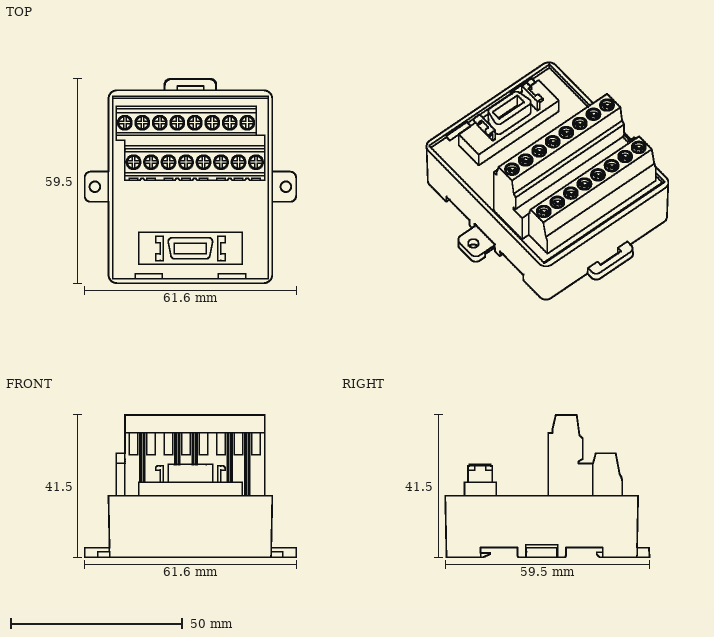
import cadquery as cq
import math


HOUSING_LENGTH = 47.75
HOUSING_DEPTH = 56.2
HOUSING_HEIGHT = 17.9
WALL_INSET = 0.4
CORNER_RADIUS = 2.2
RIM_WIDTH = 1.3
RECESS_DEPTH = 1.65
BACK_RIM_WIDTH = 1.7
BACK_RIM_CHAMFER = 0.6
PANEL_Z = HOUSING_HEIGHT - RECESS_DEPTH
RECESS_HALF_X = HOUSING_LENGTH / 2 - RIM_WIDTH
RECESS_FRONT_Y = -HOUSING_DEPTH / 2 + RIM_WIDTH
RECESS_BACK_Y = HOUSING_DEPTH / 2 - BACK_RIM_WIDTH

LUG_LENGTH = 7.95
LUG_DEPTH = 1.55
LUG_HEIGHT = 0.7
LUG_CENTER_X = 12.15

RAIL_HALF_WIDTH = 17.75
RAIL_DEPTH = 2.85
RIB_HALF_WIDTH = 7.1
RIB_CHAMFER = 0.25

CLIP_WIDTH = 15.15
CLIP_REACH = 3.3
CLIP_RADIUS = 1.85
CLIP_SLOT_WIDTH = 7.65
CLIP_INSET = 0.2
CLIP_BAR = 2.15
HOOK_REACH_BACK = 1.7
HOOK_TOP_BACK = 1.5
HOOK_CHAMFER_BACK = 0.8
HOOK_REACH_FRONT = 2.7
HOOK_TOP_FRONT = 1.3
HOOK_NOSE_FRONT = 0.45
HOOK_FOOT_FRONT = 0.8

OVERALL_LENGTH = 61.6
FOOT_WIDTH = 8.9
FOOT_THICKNESS = RAIL_DEPTH
FOOT_RADIUS = 1.85
FOOT_HOLE_DIAMETER = 3.0
FOOT_HOLE_INSET = 3.0
FOOT_NECK_INSET = 0.85
FOOT_NECK_HEIGHT = 1.55
FOOT_HEAD_LENGTH = 3.9
FOOT_INNER_X = 17.25
SOCKET_CLEARANCE = 0.215
SOCKET_LEAD_IN = 0.8

POLES = 8
ROW_LENGTH = 40.7
PITCH = ROW_LENGTH / POLES
ROW_SHIFT = PITCH / 4
SHELF_Z = 27.3
LOW_TOP_Z = 30.3
LOW_TOP_Y = (15.7, 21.55)
LOW_FRONT_Y = 13.5
LOW_BACK_Y = 23.5
LOW_BACK_BEVEL = (22.7, 24.15)
LOW_BACK_WALL_Z = 23.05
LOW_SHELF_Y = 14.9
LOW_BACK_RADIUS = 4.0
HIGH_TOP_Z = 41.45
HIGH_TOP_Y = (4.05, 10.2)
HIGH_FRONT_Y = 1.85
HIGH_STEP_Z = 36.2
HIGH_SETBACK_Y = 3.15
HIGH_SLOPE_Z = 37.3
HIGH_BACK_Y = 11.95
HIGH_BACK_BEVEL = (11.0, 35.5)
HIGH_BACK_WALL_Z = (28.6, 34.6)
HIGH_UNDERCUT = (10.8, 27.9)

SCREW_DIAMETER = 4.1
SCREW_MOUTH_CHAMFER = 0.25
SCREW_SINK = 1.6
HEAD_DIAMETER = SCREW_DIAMETER - 2 * SCREW_MOUTH_CHAMFER
CROSS_WIDTH = 0.75
CROSS_DEPTH = 0.5

WINDOW_WIDTH = 2.4
WINDOW_BOTTOM_Z = 29.9
WINDOW_DEPTH = 0.7
GROOVE_MOUTH = 1.5
GROOVE_FLOOR = 0.5
GROOVE_DEPTH = 0.6
GROOVE_AFTER_POLES = (1, 3, 4, 6, 7)

CONNECTOR_LENGTH = 30.05
CONNECTOR_Y = (-22.5, -13.2)
CONNECTOR_BASE_Z = 21.85
SOCKET_TOP_Z = 27.05
SOCKET_Y = (-21.0, -14.8)
SOCKET_HALF_FRONT = 5.5
SOCKET_HALF_BACK = 6.7
SOCKET_RADIUS = 1.25
OPENING_LENGTH = 9.3
OPENING_Y = (-19.5, -16.45)

LATCH_INNER_X = 7.95
LATCH_THICKNESS = 0.85
LATCH_Y = (-21.5, -14.35)
LATCH_TOP_Z = 26.6
LATCH_HOOK_Z = 25.3
LATCH_HOOK_REACH = 1.3
LATCH_HOOK_WIDTH = 2.0
LATCH_HOOK_RADIUS = 0.8


def block(x_range, y_range, z_range):
    """Box between the given limits."""
    size = [limits[1] - limits[0] for limits in (x_range, y_range, z_range)]
    corner = (x_range[0], y_range[0], z_range[0])
    return cq.Workplane("XY").box(*size, centered=False).translate(corner)


def prism_along_x(points, x_start, length):
    """Extrude a (Y, Z) outline along +X."""
    return cq.Workplane("YZ").workplane(offset=x_start).polyline(points).close().extrude(length)


def make_shell():
    """Drafted box with its recessed top panel."""
    draft = math.degrees(math.atan(WALL_INSET / HOUSING_HEIGHT))
    footprint = (
        cq.Sketch()
        .rect(HOUSING_LENGTH - 2 * WALL_INSET, HOUSING_DEPTH - 2 * WALL_INSET)
        .vertices()
        .fillet(CORNER_RADIUS)
    )
    shell = cq.Workplane("XY").placeSketch(footprint).extrude(HOUSING_HEIGHT, taper=-draft)
    recess_outline = [
        (RECESS_FRONT_Y, HOUSING_HEIGHT),
        (RECESS_FRONT_Y, PANEL_Z),
        (RECESS_BACK_Y - BACK_RIM_CHAMFER, PANEL_Z),
        (RECESS_BACK_Y - BACK_RIM_CHAMFER, HOUSING_HEIGHT - BACK_RIM_CHAMFER),
        (RECESS_BACK_Y, HOUSING_HEIGHT),
    ]
    return shell.cut(prism_along_x(recess_outline, -RECESS_HALF_X, 2 * RECESS_HALF_X))


def make_lug(center_x):
    """Snap lug that slopes down to the panel from the -Y wall."""
    outline = [
        (RECESS_FRONT_Y, PANEL_Z),
        (RECESS_FRONT_Y, PANEL_Z + LUG_HEIGHT),
        (RECESS_FRONT_Y + LUG_DEPTH, PANEL_Z),
    ]
    return prism_along_x(outline, center_x - LUG_LENGTH / 2, LUG_LENGTH)


def make_rail_channels():
    """Two channels through X that leave the middle rib standing."""
    outline = [
        (RIB_HALF_WIDTH - RIB_CHAMFER, 0),
        (RIB_HALF_WIDTH, 2 * RIB_CHAMFER),
        (RIB_HALF_WIDTH, RAIL_DEPTH),
        (RAIL_HALF_WIDTH, RAIL_DEPTH),
        (RAIL_HALF_WIDTH, 0),
    ]
    channel = prism_along_x(outline, -HOUSING_LENGTH / 2, HOUSING_LENGTH)
    return channel.union(channel.mirror("XZ"))


def make_rail_clip():
    """Pull loop under the +Y wall and the two hooks that hold the rail."""
    loop_tip = HOUSING_DEPTH / 2 + CLIP_REACH
    half = CLIP_WIDTH / 2
    slot_half = CLIP_SLOT_WIDTH / 2
    draft = math.degrees(math.atan(CLIP_INSET / RAIL_DEPTH))
    loop_length = loop_tip - RAIL_HALF_WIDTH
    footprint = cq.Sketch().rect(CLIP_WIDTH, loop_length).vertices().fillet(CLIP_RADIUS)
    loop = (
        cq.Workplane("XY")
        .center(0, RAIL_HALF_WIDTH + loop_length / 2)
        .placeSketch(footprint)
        .extrude(RAIL_DEPTH, taper=draft)
    )
    loop = loop.cut(
        block((-slot_half, slot_half), (RAIL_HALF_WIDTH, loop_tip - CLIP_BAR), (0, RAIL_DEPTH))
    )
    back_tip = RAIL_HALF_WIDTH - HOOK_REACH_BACK
    back_outline = [
        (RAIL_HALF_WIDTH, 0),
        (RAIL_HALF_WIDTH, HOOK_TOP_BACK),
        (back_tip, HOOK_TOP_BACK),
        (back_tip, HOOK_CHAMFER_BACK),
        (back_tip + HOOK_CHAMFER_BACK, 0),
    ]
    front_tip = -RAIL_HALF_WIDTH + HOOK_REACH_FRONT
    front_outline = [
        (-RAIL_HALF_WIDTH, 0),
        (-RAIL_HALF_WIDTH, HOOK_TOP_FRONT),
        (front_tip, HOOK_TOP_FRONT),
        (front_tip, HOOK_TOP_FRONT - HOOK_NOSE_FRONT),
        (-RAIL_HALF_WIDTH + HOOK_FOOT_FRONT, 0),
    ]
    hooks = prism_along_x(back_outline, -half, CLIP_WIDTH)
    hooks = hooks.union(prism_along_x(front_outline, -half, CLIP_WIDTH))
    return loop, hooks


def make_foot_socket():
    """Cutter for the foot socket in the -X wall, with a sloped ceiling at its mouth."""
    half = FOOT_WIDTH / 2 + SOCKET_CLEARANCE
    mouth_x = -HOUSING_LENGTH / 2
    slope_end_x = mouth_x + WALL_INSET + SOCKET_LEAD_IN
    socket = block((mouth_x, -FOOT_INNER_X), (-half, half), (0, FOOT_THICKNESS))
    lead_in = (
        cq.Workplane("XZ")
        .polyline([
            (mouth_x, FOOT_THICKNESS),
            (slope_end_x, FOOT_THICKNESS),
            (slope_end_x - SOCKET_LEAD_IN, FOOT_THICKNESS + SOCKET_LEAD_IN),
            (mouth_x, FOOT_THICKNESS + SOCKET_LEAD_IN),
        ])
        .close()
        .extrude(half, both=True)
    )
    return socket.union(lead_in)


def row_pole_x(row_center_x):
    """X of every pole of a terminal row."""
    return [row_center_x + (i - (POLES - 1) / 2) * PITCH for i in range(POLES)]


def make_low_row():
    """Low terminal row at the back."""
    outline = [
        (LOW_FRONT_Y, PANEL_Z),
        (LOW_FRONT_Y, SHELF_Z),
        (LOW_SHELF_Y, SHELF_Z),
        (LOW_TOP_Y[0], LOW_TOP_Z),
        (LOW_TOP_Y[1], LOW_TOP_Z),
        LOW_BACK_BEVEL,
        (LOW_BACK_Y, LOW_BACK_WALL_Z),
        (LOW_BACK_Y, PANEL_Z),
    ]
    row = prism_along_x(outline, -ROW_SHIFT - ROW_LENGTH / 2, ROW_LENGTH)
    return row.edges("|X and >Y").edges(">Z").fillet(LOW_BACK_RADIUS)


def make_high_row():
    """High terminal row, including the shelf that joins it to the low row."""
    outline = [
        (HIGH_FRONT_Y, PANEL_Z),
        (HIGH_FRONT_Y, HIGH_STEP_Z),
        (HIGH_SETBACK_Y, HIGH_STEP_Z),
        (HIGH_SETBACK_Y, HIGH_SLOPE_Z),
        (HIGH_TOP_Y[0], HIGH_TOP_Z),
        (HIGH_TOP_Y[1], HIGH_TOP_Z),
        HIGH_BACK_BEVEL,
        (HIGH_BACK_Y, HIGH_BACK_WALL_Z[1]),
        (HIGH_BACK_Y, HIGH_BACK_WALL_Z[0]),
        HIGH_UNDERCUT,
        (HIGH_UNDERCUT[0], SHELF_Z),
        (LOW_SHELF_Y, SHELF_Z),
        (LOW_SHELF_Y, PANEL_Z),
    ]
    return prism_along_x(outline, ROW_SHIFT - ROW_LENGTH / 2, ROW_LENGTH)


def make_screw_cuts(row_center_x, top_y, top_z):
    """Sunk screw heads with chamfered mouths and cross slots along one row."""
    centers = [(x, sum(top_y) / 2) for x in row_pole_x(row_center_x)]
    head_z = top_z - SCREW_SINK
    wells = (
        cq.Workplane("XY").workplane(offset=head_z)
        .pushPoints(centers).circle(HEAD_DIAMETER / 2).extrude(SCREW_SINK)
    )
    mouth = cq.Solid.makeCone(
        HEAD_DIAMETER / 2,
        SCREW_DIAMETER / 2,
        SCREW_MOUTH_CHAMFER,
        pnt=cq.Vector(0, 0, top_z - SCREW_MOUTH_CHAMFER),
    )
    mouths = cq.Workplane("XY").pushPoints(centers).eachpoint(lambda place: mouth.moved(place))
    slots = cq.Workplane("XY").workplane(offset=head_z - CROSS_DEPTH).pushPoints(centers)
    along_x = slots.rect(HEAD_DIAMETER, CROSS_WIDTH).extrude(CROSS_DEPTH)
    along_y = slots.rect(CROSS_WIDTH, HEAD_DIAMETER).extrude(CROSS_DEPTH)
    return wells.union(mouths).union(along_x).union(along_y)


def make_face_cuts():
    """Wire windows and tapered grooves in the -Y face of the high row."""
    poles = row_pole_x(ROW_SHIFT)
    height = HIGH_STEP_Z - WINDOW_BOTTOM_Z
    windows = (
        cq.Workplane("XY").workplane(offset=WINDOW_BOTTOM_Z)
        .pushPoints([(x, HIGH_FRONT_Y + WINDOW_DEPTH / 2) for x in poles])
        .rect(WINDOW_WIDTH, WINDOW_DEPTH)
        .extrude(height)
    )
    groove = (
        cq.Workplane("XY").workplane(offset=PANEL_Z)
        .polyline([
            (-GROOVE_MOUTH / 2, HIGH_FRONT_Y),
            (GROOVE_MOUTH / 2, HIGH_FRONT_Y),
            (GROOVE_FLOOR / 2, HIGH_FRONT_Y + GROOVE_DEPTH),
            (-GROOVE_FLOOR / 2, HIGH_FRONT_Y + GROOVE_DEPTH),
        ])
        .close()
        .extrude(HIGH_STEP_Z - PANEL_Z)
    )
    cuts = windows
    for pole in GROOVE_AFTER_POLES:
        cuts = cuts.union(groove.translate((poles[pole - 1] + PITCH / 2, 0, 0)))
    return cuts


def make_connector():
    """Connector base with its D-shaped socket."""
    half = CONNECTOR_LENGTH / 2
    base = block((-half, half), CONNECTOR_Y, (PANEL_Z, CONNECTOR_BASE_Z))
    socket = (
        cq.Workplane("XY").workplane(offset=CONNECTOR_BASE_Z)
        .polyline([
            (-SOCKET_HALF_FRONT, SOCKET_Y[0]),
            (SOCKET_HALF_FRONT, SOCKET_Y[0]),
            (SOCKET_HALF_BACK, SOCKET_Y[1]),
            (-SOCKET_HALF_BACK, SOCKET_Y[1]),
        ])
        .close()
        .extrude(SOCKET_TOP_Z - CONNECTOR_BASE_Z)
        .edges("|Z")
        .fillet(SOCKET_RADIUS)
    )
    opening_half = OPENING_LENGTH / 2
    opening = block((-opening_half, opening_half), OPENING_Y, (CONNECTOR_BASE_Z, SOCKET_TOP_Z))
    return base.union(socket.cut(opening))


def make_latch():
    """Latch plate on the +X side of the socket, with two outward hooks."""
    outer_x = LATCH_INNER_X + LATCH_THICKNESS
    latch = block((LATCH_INNER_X, outer_x), LATCH_Y, (CONNECTOR_BASE_Z, LATCH_TOP_Z))
    hook_x = (LATCH_INNER_X, outer_x + LATCH_HOOK_REACH)
    for hook_y in (LATCH_Y[0], LATCH_Y[1] - LATCH_HOOK_WIDTH):
        hook = block(hook_x, (hook_y, hook_y + LATCH_HOOK_WIDTH), (LATCH_HOOK_Z, LATCH_TOP_Z))
        latch = latch.union(hook.edges("|Y and >X and >Z").fillet(LATCH_HOOK_RADIUS))
    return latch


def make_housing():
    """The whole moulded housing as one solid."""
    socket = make_foot_socket()
    loop, hooks = make_rail_clip()
    latch = make_latch()
    body = make_shell().union(loop)
    body = body.cut(make_rail_channels()).cut(socket).cut(socket.mirror("YZ")).union(hooks)
    for lug_x in (-LUG_CENTER_X, LUG_CENTER_X):
        body = body.union(make_lug(lug_x))
    terminals = make_low_row().union(make_high_row()).cut(make_face_cuts())
    terminals = terminals.cut(make_screw_cuts(-ROW_SHIFT, LOW_TOP_Y, LOW_TOP_Z))
    terminals = terminals.cut(make_screw_cuts(ROW_SHIFT, HIGH_TOP_Y, HIGH_TOP_Z))
    body = body.union(terminals).union(make_connector())
    return body.union(latch).union(latch.mirror("YZ"))


def make_foot():
    """Mounting foot for the -X side."""
    tip_x = -OVERALL_LENGTH / 2
    half = FOOT_WIDTH / 2
    foot = block((tip_x, -FOOT_INNER_X), (-half, half), (0, FOOT_THICKNESS))
    foot = foot.edges("|Z and <X").fillet(FOOT_RADIUS)
    neck_x = (tip_x + FOOT_HEAD_LENGTH, -FOOT_INNER_X)
    side_cut = block(neck_x, (half - FOOT_NECK_INSET, half), (0, FOOT_NECK_HEIGHT))
    hole = (
        cq.Workplane("XY")
        .center(tip_x + FOOT_HOLE_INSET, 0)
        .circle(FOOT_HOLE_DIAMETER / 2)
        .extrude(FOOT_THICKNESS)
    )
    return foot.cut(side_cut).cut(side_cut.mirror("XZ")).cut(hole)


housing = make_housing()
feet = []
for turn in (0, 180):
    feet.append(make_foot().rotate((0, 0, 0), (0, 0, 1), turn).val())

result = cq.Compound.makeCompound([housing.val(), *feet])